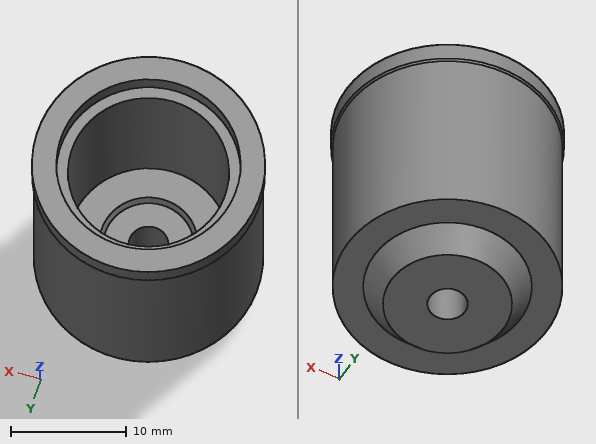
import cadquery as cq

total_height = 22.9
collar_diameter = 20.3
collar_height = 1.88
collar_bevel_height = 0.18
body_diameter = 20.0
nose_height = 2.31
nose_top_diameter = 14.65
nose_tip_diameter = 11.22

counterbore_diameter = 16.03
counterbore_depth = 1.79
bore_diameter = 14.01
bore_floor_height = nose_height + (body_diameter - bore_diameter) / 2
recess_top_diameter = 8.55
recess_bottom_diameter = 7.9
recess_depth = 0.55
outlet_diameter = 3.5

collar_bottom = total_height - collar_height
ledge_height = total_height - counterbore_depth
recess_floor_height = bore_floor_height - recess_depth

section = [
    (outlet_diameter, 0),
    (nose_tip_diameter, 0),
    (nose_top_diameter, nose_height),
    (body_diameter, nose_height),
    (body_diameter, collar_bottom - collar_bevel_height),
    (collar_diameter, collar_bottom),
    (collar_diameter, total_height),
    (counterbore_diameter, total_height),
    (counterbore_diameter, ledge_height),
    (bore_diameter, ledge_height),
    (bore_diameter, bore_floor_height),
    (recess_top_diameter, bore_floor_height),
    (recess_bottom_diameter, recess_floor_height),
    (outlet_diameter, recess_floor_height),
]

half_section = cq.Workplane("XZ").polyline([(diameter / 2, height) for diameter, height in section]).close()
result = half_section.revolve(360, (0, 0), (0, 1))